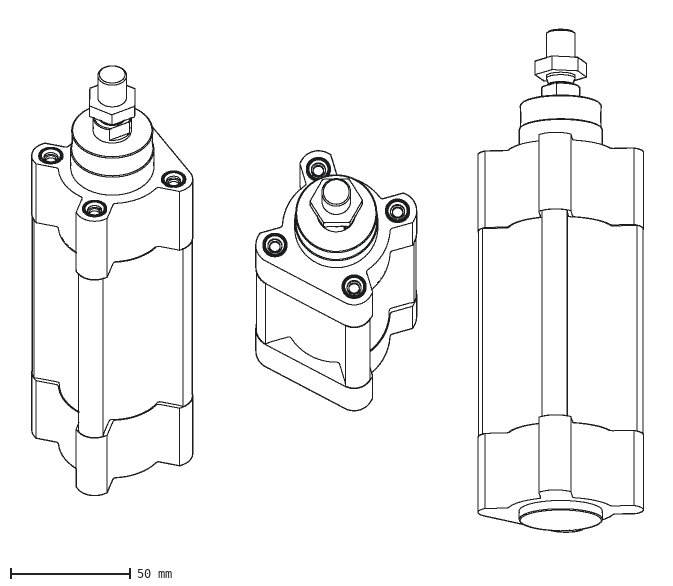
import cadquery as cq
import math

TOTAL_HEIGHT = 212.0
END_CAP_BOTTOM = 4.0
END_CAP_TOP = 36.7
FRONT_CAP_BOTTOM = 126.0
FRONT_CAP_TOP = 159.3
COLLAR_STEP = 170.0
COLLAR_TOP = 180.3
FLATS_BOTTOM = 181.8
ROD_SHOULDER = 188.2
NECK_CHAMFER_BOTTOM = 188.8
NECK_HEIGHT = 189.2
THREAD_BOTTOM = 192.0
NUT_BOTTOM = 193.0

CAP_WIDTH = 54.0
BARREL_WIDTH = 53.6
SCREW_SPACING = 38.0
SCREW_OFFSET = SCREW_SPACING / 2
CAP_CORE_RADIUS = 22.7
BARREL_CORE_RADIUS = 22.2
CAP_LOBE_HALF_WIDTH = 6.8
BARREL_LOBE_HALF_WIDTH = 5.0
BARREL_LOBE_FLARE_START = 30.5
BARREL_LOBE_FLARE_ANGLE = 8.0
ROOT_FILLET = 1.3
EDGE_TOLERANCE = 0.02

COLLAR_DIAMETER = 35.0
COLLAR_CHAMFER = 0.5
UPPER_COLLAR_DIAMETER = COLLAR_DIAMETER - 2 * COLLAR_CHAMFER
UPPER_COLLAR_WAIST = 33.7

COUNTERBORE_DIAMETER = 10.2
COUNTERBORE_DEPTH = 0.6
SCREW_HEAD_DIAMETER = 9.5
SCREW_HEAD_CHAMFER = 0.32
COUNTERSINK_DIAMETER = 8.0
SCREW_BORE_DIAMETER = 6.0
SCREW_BORE_DEPTH = 2.1
PILOT_DIAMETER = 4.5
PILOT_DEPTH = 3.4
DRILL_POINT_ANGLE = 118.0

ROD_DIAMETER = 16.0
ROD_CHAMFER = 0.5
FLATS_WIDTH = 13.0
THREAD_DIAMETER = 12.0
THREAD_CHAMFER = 0.6
NECK_DIAMETER = 10.2
NECK_BASE_DIAMETER = 11.5
NECK_BASE_TOP_DIAMETER = 10.5
NUT_SIDES = 6
NUT_HEIGHT = 6.0
NUT_ACROSS_FLATS = 19.0
NUT_CORNER_DIAMETER = 21.6
NUT_CHAMFER_ANGLE = 30.0


def cylinder(diameter, bottom, top):
    return cq.Workplane("XY").workplane(offset=bottom).circle(diameter / 2).extrude(top - bottom)


def cone(lower_diameter, upper_diameter, bottom, top):
    profile = [(0, bottom), (lower_diameter / 2, bottom), (upper_diameter / 2, top), (0, top)]
    return cq.Workplane("XZ").polyline(profile).close().revolve(360, (0, 0), (0, 1))


def lobed_prism(width, core_radius, lobe_side, bottom, top):
    """Round core with four diagonal lobes, each rounded off about its screw axis.

    lobe_side lists (distance along the diagonal, half-width) points of one lobe side.
    """
    height = top - bottom
    rounded_square = (
        cq.Workplane("XY").workplane(offset=bottom)
        .rect(width, width).extrude(height)
        .edges("|Z").fillet(width / 2 - SCREW_OFFSET)
    )
    opposite_side = [(along, -across) for along, across in reversed(lobe_side)]
    lobe = (
        cq.Workplane("XY").workplane(offset=bottom)
        .polyline(lobe_side + opposite_side).close().extrude(height)
    )
    prism = cylinder(2 * core_radius, bottom, top)
    for angle in (45, 135, 225, 315):
        prism = prism.union(lobe.rotate((0, 0, 0), (0, 0, 1), angle).intersect(rounded_square))
    return prism


def round_edges_at(prism, distance, fillet_radius):
    """Fillet the vertical edges that lie at a given distance from the cylinder axis."""
    def is_at_distance(edge):
        centre = edge.Center()
        return abs(math.hypot(centre.x, centre.y) - distance) < EDGE_TOLERANCE

    return prism.edges("|Z").filter(is_at_distance).fillet(fillet_radius)


def make_cap(bottom, top):
    """Cap section with its +Y side filled out flat between the two lobes."""
    lobe_side = [(0, CAP_LOBE_HALF_WIDTH), (CAP_WIDTH, CAP_LOBE_HALF_WIDTH)]
    cap = lobed_prism(CAP_WIDTH, CAP_CORE_RADIUS, lobe_side, bottom, top)
    cap = round_edges_at(cap, CAP_CORE_RADIUS, ROOT_FILLET)
    flat_side = (
        cq.Workplane("XY").workplane(offset=bottom)
        .center(0, (CAP_WIDTH / 2 + SCREW_OFFSET) / 2)
        .rect(2 * SCREW_OFFSET, CAP_WIDTH / 2 - SCREW_OFFSET)
        .extrude(top - bottom)
    )
    flat_web = (
        cq.Workplane("XY").workplane(offset=bottom)
        .polyline([(0, 0), (SCREW_OFFSET, SCREW_OFFSET), (-SCREW_OFFSET, SCREW_OFFSET)]).close()
        .extrude(top - bottom)
    )
    return cap.union(flat_side).union(flat_web)


def make_barrel():
    """Barrel section, whose lobes widen slightly towards their tips."""
    flare_length = BARREL_WIDTH - BARREL_LOBE_FLARE_START
    flare = flare_length * math.tan(math.radians(BARREL_LOBE_FLARE_ANGLE))
    lobe_side = [
        (0, BARREL_LOBE_HALF_WIDTH),
        (BARREL_LOBE_FLARE_START, BARREL_LOBE_HALF_WIDTH),
        (BARREL_WIDTH, BARREL_LOBE_HALF_WIDTH + flare),
    ]
    barrel = lobed_prism(BARREL_WIDTH, BARREL_CORE_RADIUS, lobe_side, END_CAP_TOP, FRONT_CAP_BOTTOM)
    return round_edges_at(barrel, BARREL_CORE_RADIUS, ROOT_FILLET)


def make_collars():
    lower = cylinder(COLLAR_DIAMETER, FRONT_CAP_TOP, COLLAR_STEP).faces(">Z").chamfer(COLLAR_CHAMFER)
    chamfer_start = COLLAR_TOP - COLLAR_CHAMFER
    upper = (
        cq.Workplane("XZ").moveTo(0, COLLAR_STEP)
        .lineTo(UPPER_COLLAR_DIAMETER / 2, COLLAR_STEP)
        .threePointArc(
            (UPPER_COLLAR_WAIST / 2, (COLLAR_STEP + chamfer_start) / 2),
            (UPPER_COLLAR_DIAMETER / 2, chamfer_start),
        )
        .lineTo(UPPER_COLLAR_DIAMETER / 2 - COLLAR_CHAMFER, COLLAR_TOP)
        .lineTo(0, COLLAR_TOP).close()
        .revolve(360, (0, 0), (0, 1))
    )
    base = cylinder(COLLAR_DIAMETER, 0, END_CAP_BOTTOM).faces("<Z").chamfer(COLLAR_CHAMFER)
    return lower.union(upper).union(base)


def make_screw_recess():
    """Everything removed around and inside one screw head, on the Z axis."""
    counterbore_floor = FRONT_CAP_TOP - COUNTERBORE_DEPTH
    head = cylinder(SCREW_HEAD_DIAMETER, counterbore_floor, FRONT_CAP_TOP)
    head = head.faces(">Z").chamfer(SCREW_HEAD_CHAMFER)
    recess = cylinder(COUNTERBORE_DIAMETER, counterbore_floor, FRONT_CAP_TOP).cut(head)

    countersink_depth = (COUNTERSINK_DIAMETER - SCREW_BORE_DIAMETER) / 2
    countersink = cone(
        SCREW_BORE_DIAMETER, COUNTERSINK_DIAMETER, FRONT_CAP_TOP - countersink_depth, FRONT_CAP_TOP
    )
    bore = cylinder(SCREW_BORE_DIAMETER, FRONT_CAP_TOP - SCREW_BORE_DEPTH, FRONT_CAP_TOP)
    pilot_floor = FRONT_CAP_TOP - PILOT_DEPTH
    pilot = cylinder(PILOT_DIAMETER, pilot_floor, FRONT_CAP_TOP)
    point_height = PILOT_DIAMETER / 2 / math.tan(math.radians(DRILL_POINT_ANGLE / 2))
    drill_point = (
        cq.Workplane("XZ")
        .polyline([(0, pilot_floor - point_height), (PILOT_DIAMETER / 2, pilot_floor), (0, pilot_floor)])
        .close().revolve(360, (0, 0), (0, 1))
    )
    return recess.union(countersink).union(bore).union(pilot).union(drill_point)


def make_housing():
    housing = make_barrel().union(make_cap(END_CAP_BOTTOM, END_CAP_TOP))
    housing = housing.union(make_cap(FRONT_CAP_BOTTOM, FRONT_CAP_TOP)).union(make_collars())
    housing = housing.cut(cylinder(ROD_DIAMETER, FRONT_CAP_BOTTOM, COLLAR_TOP))
    recess = make_screw_recess()
    for x in (-SCREW_OFFSET, SCREW_OFFSET):
        for y in (-SCREW_OFFSET, SCREW_OFFSET):
            housing = housing.cut(recess.translate((x, y, 0)))
    return housing


def make_rod():
    shank = cylinder(ROD_DIAMETER, FRONT_CAP_BOTTOM, ROD_SHOULDER).faces(">Z").chamfer(ROD_CHAMFER)
    flats_height = ROD_SHOULDER - FLATS_BOTTOM
    for side in (-1, 1):
        flat_cut = (
            cq.Workplane("XY").workplane(offset=FLATS_BOTTOM)
            .center(side * (FLATS_WIDTH + ROD_DIAMETER) / 2, 0)
            .rect(ROD_DIAMETER, ROD_DIAMETER).extrude(flats_height)
        )
        shank = shank.cut(flat_cut)
    neck_base = cylinder(NECK_BASE_DIAMETER, ROD_SHOULDER, NECK_CHAMFER_BOTTOM)
    neck_chamfer = cone(NECK_BASE_DIAMETER, NECK_BASE_TOP_DIAMETER, NECK_CHAMFER_BOTTOM, NECK_HEIGHT)
    thread_runout = cone(NECK_DIAMETER, THREAD_DIAMETER, NECK_HEIGHT, THREAD_BOTTOM)
    thread = cylinder(THREAD_DIAMETER, THREAD_BOTTOM, TOTAL_HEIGHT).faces(">Z").chamfer(THREAD_CHAMFER)
    return shank.union(neck_base).union(neck_chamfer).union(thread_runout).union(thread)


def make_nut():
    nut_top = NUT_BOTTOM + NUT_HEIGHT
    corner_distance = NUT_ACROSS_FLATS / math.cos(math.pi / NUT_SIDES)
    hexagon = (
        cq.Workplane("XY").workplane(offset=NUT_BOTTOM)
        .polygon(NUT_SIDES, corner_distance).extrude(NUT_HEIGHT)
        .rotate((0, 0, 0), (0, 0, 1), 90)
    )
    corner_trim = (corner_distance - NUT_CORNER_DIAMETER) / 2
    chamfer_height = corner_trim * math.tan(math.radians(NUT_CHAMFER_ANGLE))
    envelope = (
        cone(NUT_CORNER_DIAMETER, corner_distance, NUT_BOTTOM, NUT_BOTTOM + chamfer_height)
        .union(cylinder(corner_distance, NUT_BOTTOM + chamfer_height, nut_top - chamfer_height))
        .union(cone(corner_distance, NUT_CORNER_DIAMETER, nut_top - chamfer_height, nut_top))
    )
    return hexagon.intersect(envelope).cut(cylinder(THREAD_DIAMETER, NUT_BOTTOM, nut_top))


housing = make_housing()
rod = make_rod()
nut = make_nut()

result = cq.Compound.makeCompound([housing.val(), rod.val(), nut.val()])